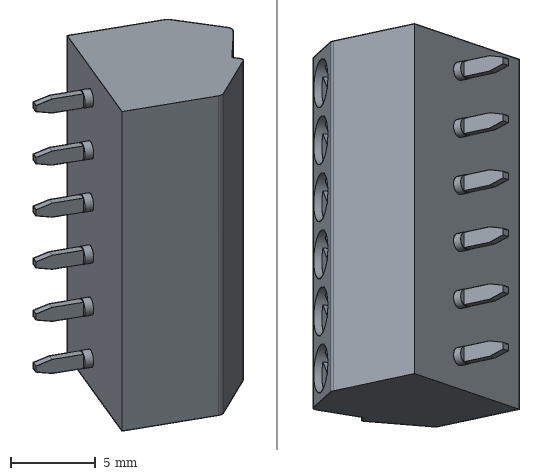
import cadquery as cq
import math

HOUSING_WIDTH = 10.0
HOUSING_DEPTH = 9.5
HOUSING_LENGTH = 21.5
SHOULDER_DEPTH = 6.28
SCREW_FACE_ANGLE = 55.0
WIRE_FACE_ANGLE = 90.0 - SCREW_FACE_ANGLE
ROOF_ANGLE = 20.5
NOTCH_X = 5.72
CORNER_RADIUS = 0.5
CREST_RADIUS = 0.25
NOTCH_RADIUS = 0.1

TERMINAL_COUNT = 6
PITCH = 3.5
FIRST_Z = (HOUSING_LENGTH - (TERMINAL_COUNT - 1) * PITCH) / 2

SCREW_DIAMETER = 2.9
SCREW_RECESS = 0.5
SCREW_CENTRE_Y = 8.05
SLOT_WIDTH = 0.67
SLOT_DEPTH = 0.95
SLOT_ANGLE = -45.0

PIN_X = 4.28
PIN_REACH = 3.5
PIN_THICKNESS = 0.5
PIN_WIDTH = 0.95
PIN_TIP_WIDTH = 0.4
PIN_TAPER = 1.0
COLLAR_DIAMETER = 1.1
COLLAR_LENGTH = 0.54

screw_slope = math.tan(math.radians(SCREW_FACE_ANGLE))
wire_slope = math.tan(math.radians(WIRE_FACE_ANGLE))
roof_slope = math.tan(math.radians(ROOF_ANGLE))


def make_housing():
    half_turn = math.radians((SCREW_FACE_ANGLE + ROOF_ANGLE) / 2)
    lean = math.radians((SCREW_FACE_ANGLE - ROOF_ANGLE) / 2)
    apex_y = HOUSING_DEPTH + CORNER_RADIUS * (math.cos(lean) / math.cos(half_turn) - 1)
    apex_x = (apex_y - SHOULDER_DEPTH) / screw_slope
    notch_y = apex_y - (NOTCH_X - apex_x) * roof_slope

    wire_face_y = SHOULDER_DEPTH + (HOUSING_WIDTH - NOTCH_X) * wire_slope
    crest_run = (wire_face_y - notch_y) / (screw_slope + wire_slope)
    crest_x = NOTCH_X + crest_run
    crest_y = notch_y + crest_run * screw_slope

    left_shoulder = (0, SHOULDER_DEPTH)
    apex = (apex_x, apex_y)
    notch = (NOTCH_X, notch_y)
    crest = (crest_x, crest_y)
    right_shoulder = (HOUSING_WIDTH, SHOULDER_DEPTH)
    outline = [(0, 0), left_shoulder, apex, notch, crest, right_shoulder, (HOUSING_WIDTH, 0)]
    housing = cq.Workplane("XY").polyline(outline).close().extrude(HOUSING_LENGTH)

    rounded_corners = [
        (left_shoulder, CORNER_RADIUS),
        (apex, CORNER_RADIUS),
        (notch, NOTCH_RADIUS),
        (crest, CREST_RADIUS),
        (right_shoulder, CORNER_RADIUS),
    ]
    for (x, y), radius in rounded_corners:
        edge = cq.selectors.NearestToPointSelector((x, y, HOUSING_LENGTH / 2))
        housing = housing.edges("|Z").edges(edge).fillet(radius)
    return housing


def make_screw_cut(z):
    """Round recess in the screw face with a driver slot across its floor."""
    angle = math.radians(SCREW_FACE_ANGLE)
    face = cq.Plane(
        origin=((SCREW_CENTRE_Y - SHOULDER_DEPTH) / screw_slope, SCREW_CENTRE_Y, z),
        xDir=(math.cos(angle), math.sin(angle), 0),
        normal=(-math.sin(angle), math.cos(angle), 0),
    )
    total_depth = SCREW_RECESS + SLOT_DEPTH
    recess = cq.Workplane(face).circle(SCREW_DIAMETER / 2).extrude(-SCREW_RECESS)
    bore = cq.Workplane(face).circle(SCREW_DIAMETER / 2).extrude(-total_depth)
    slot = (
        cq.Workplane(face)
        .transformed(rotate=(0, 0, SLOT_ANGLE))
        .rect(SCREW_DIAMETER * 2, SLOT_WIDTH)
        .extrude(-total_depth)
        .intersect(bore)
    )
    return recess.union(slot)


def make_pin(z):
    """Flat pin with a tapered tip, standing out of a round collar."""
    collar = (
        cq.Workplane("XZ", origin=(PIN_X, 0, z))
        .circle(COLLAR_DIAMETER / 2)
        .extrude(COLLAR_LENGTH)
    )
    taper_start = PIN_TAPER - PIN_REACH
    blade_outline = [
        (0, -PIN_WIDTH / 2),
        (taper_start, -PIN_WIDTH / 2),
        (-PIN_REACH, -PIN_TIP_WIDTH / 2),
        (-PIN_REACH, PIN_TIP_WIDTH / 2),
        (taper_start, PIN_WIDTH / 2),
        (0, PIN_WIDTH / 2),
    ]
    blade = (
        cq.Workplane("YZ", origin=(PIN_X, 0, z))
        .polyline(blade_outline)
        .close()
        .extrude(PIN_THICKNESS / 2, both=True)
    )
    return collar.union(blade)


result = make_housing()
for index in range(TERMINAL_COUNT):
    terminal_z = FIRST_Z + index * PITCH
    result = result.cut(make_screw_cut(terminal_z))
    result = result.union(make_pin(terminal_z))